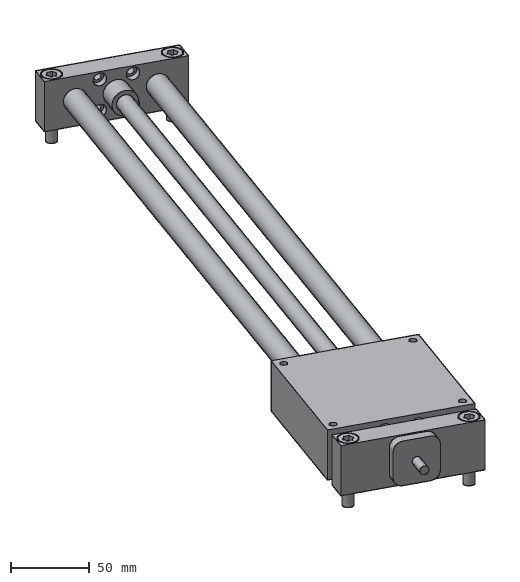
import cadquery as cq

total_length = 562.0
total_height = 49.0

carriage_size = 100.0
carriage_height = 36.0
carriage_top = carriage_height / 2
carriage_x = 421.0
carriage_hole_diameter = 4.95
carriage_hole_inset = 6.0
carriage_counterbore_diameter = 10.0
carriage_counterbore_depth = 8.0

plate_width = 98.0
plate_height = 36.0
plate_drop = 1.0
plate_thickness = 16.0
right_plate_x = 526.0

rod_diameter = 16.0
rod_spacing = 56.0
lead_screw_diameter = 12.0
collar_diameter = 18.0
collar_length = 16.0
drive_shaft_diameter = 6.0

flange_size = 32.0
flange_thickness = 7.0
flange_corner_radius = 7.0
bolt_spacing = 22.5
bolt_head_diameter = 8.5
bolt_head_length = 4.5
left_hole_diameter = 5.5
left_counterbore_diameter = 9.0
left_counterbore_depth = 5.0
shoulder_diameter = 13.0
shoulder_length = 3.5

screw_spacing = 82.0
screw_diameter = 8.0
screw_head_diameter = 13.0
screw_counterbore_diameter = 14.0
screw_counterbore_depth = 8.0
screw_socket_size = 6.0
screw_socket_depth = 4.0
hexagon_sides = 6

plate_top = carriage_top - plate_drop
plate_bottom = plate_top - plate_height
frame_bottom = carriage_top - total_height
flange_x = right_plate_x + plate_thickness
flange_end = flange_x + flange_thickness
left_plate_center = plate_thickness / 2
right_plate_center = right_plate_x + plate_thickness / 2
rod_ys = (-rod_spacing / 2, rod_spacing / 2)


def x_cylinder(diameter, x_start, x_end, y=0.0, z=0.0):
    """A round bar along X between two X positions."""
    return cq.Workplane("YZ", origin=(x_start, y, z)).circle(diameter / 2).extrude(x_end - x_start)


def z_cylinder(diameter, x, y, z_start, z_end):
    """A round bar along Z between two heights."""
    return cq.Workplane("XY", origin=(x, y, z_start)).circle(diameter / 2).extrude(z_end - z_start)


def square_points(spacing):
    """The four corners of a centred square."""
    return [(a * spacing / 2, b * spacing / 2) for a in (-1, 1) for b in (-1, 1)]


def end_plate(x):
    """A plain rectangular end plate starting at X = x."""
    return cq.Workplane("XY", origin=(x, 0, plate_bottom)).box(
        plate_thickness, plate_width, plate_height, centered=(False, True, False)
    )


def with_mounting_screw(body, x, y):
    """Counterbore a plate and seat a socket head screw that projects below it."""
    seat = plate_top - screw_counterbore_depth
    socket = (
        cq.Workplane("XY", origin=(x, y, plate_top))
        .polygon(hexagon_sides, screw_socket_size, circumscribed=True)
        .extrude(-screw_socket_depth)
    )
    counterbore = z_cylinder(screw_counterbore_diameter, x, y, seat, plate_top)
    head = z_cylinder(screw_head_diameter, x, y, seat, plate_top).cut(socket)
    shank = z_cylinder(screw_diameter, x, y, frame_bottom, plate_bottom)
    return body.cut(counterbore).union(head).union(shank)


def bearing_flange():
    """Square flange with rounded corners on the outside of the right plate."""
    return (
        cq.Workplane("YZ", origin=(flange_x, 0, 0))
        .rect(flange_size, flange_size)
        .extrude(flange_thickness)
        .edges("|X")
        .fillet(flange_corner_radius)
    )


def left_plate():
    """Left end plate with four bolt holes counterbored from the inner face."""
    plate = end_plate(0)
    seat = plate_thickness - left_counterbore_depth
    for y, z in square_points(bolt_spacing):
        plate = plate.cut(x_cylinder(left_hole_diameter, 0, plate_thickness, y, z))
        plate = plate.cut(x_cylinder(left_counterbore_diameter, seat, plate_thickness, y, z))
    return plate


def right_plate():
    """Right end plate with the bearing flange, bolt heads, screw shoulder and drive shaft."""
    plate = end_plate(right_plate_x).union(bearing_flange())
    head_start = right_plate_x - bolt_head_length
    for y, z in square_points(bolt_spacing):
        plate = plate.union(x_cylinder(bolt_head_diameter, head_start, right_plate_x, y, z))
    plate = plate.union(x_cylinder(shoulder_diameter, right_plate_x - shoulder_length, right_plate_x))
    return plate.union(x_cylinder(drive_shaft_diameter, flange_end, total_length))


def make_frame():
    """End plates joined by the guide rods and lead screw, with their mounting screws, as one solid."""
    frame = left_plate().union(right_plate())
    for y in rod_ys:
        frame = frame.union(x_cylinder(rod_diameter, plate_thickness, right_plate_x, y))
    frame = frame.union(x_cylinder(lead_screw_diameter, plate_thickness, right_plate_x))
    frame = frame.union(x_cylinder(collar_diameter, plate_thickness, plate_thickness + collar_length))
    for x in (left_plate_center, right_plate_center):
        for y in (-screw_spacing / 2, screw_spacing / 2):
            frame = with_mounting_screw(frame, x, y)
    return frame


def make_carriage():
    """Square block bored for the rods and lead screw, with four vertical mounting holes."""
    carriage_end = carriage_x + carriage_size
    carriage_center = carriage_x + carriage_size / 2
    bottom = carriage_top - carriage_height
    carriage = cq.Workplane("XY", origin=(carriage_center, 0, bottom)).box(
        carriage_size, carriage_size, carriage_height, centered=(True, True, False)
    )
    for y in rod_ys:
        carriage = carriage.cut(x_cylinder(rod_diameter, carriage_x, carriage_end, y))
    carriage = carriage.cut(x_cylinder(lead_screw_diameter, carriage_x, carriage_end))
    for dx, y in square_points(carriage_size - 2 * carriage_hole_inset):
        x = carriage_center + dx
        carriage = carriage.cut(z_cylinder(carriage_hole_diameter, x, y, bottom, carriage_top))
        carriage = carriage.cut(
            z_cylinder(carriage_counterbore_diameter, x, y, bottom, bottom + carriage_counterbore_depth)
        )
    return carriage


frame = make_frame()
carriage = make_carriage()
result = cq.Compound.makeCompound([frame.solids().val(), carriage.solids().val()])